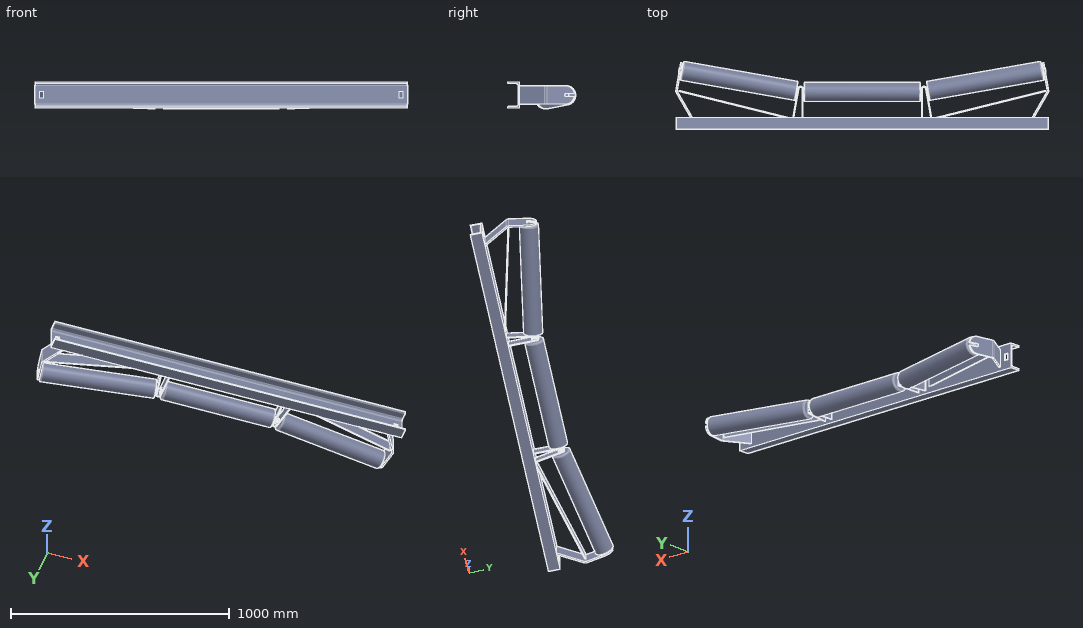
import cadquery as cq
import math

overall_width = 1704.42

channel_length = 1700.0
channel_height = 120.0
channel_depth = 55.0
web_thickness = 7.0
flange_thickness = 9.0
root_radius = 9.0
toe_radius = 5.0
mount_hole_width = 18.0
mount_hole_height = 30.0
mount_hole_x = 820.0

roller_diameter = 89.0
roller_length = 530.0
roller_edge_radius = 4.0
shaft_diameter = 20.0
shaft_flat_width = 14.0
roller_z = -20.0
centre_roller_y = 172.0
wing_angle = 10.0
wing_tilt = 2.0
wing_inner_x = 301.0
wing_inner_y = 176.17

strap_thickness = 5.0
strap_width = 50.0
strap_top_y = 198.0
strap_gap = 5.0

plate_thickness = 8.0
plate_width = 84.0
plate_tip_y = 306.0
bend_inner_radius = 8.0
bend_y = 176.0
plate_foot_angle = 30.0
outer_shaft_reach = 16.0

brace_thickness = 5.0
brace_width = 60.0
brace_foot_x = 338.0
brace_head_y = 178.5

half_roller = roller_length / 2
inner_shaft_reach = strap_gap + strap_thickness
bend_radius = bend_inner_radius + plate_thickness
bend_x = bend_radius - overall_width / 2
wing_slant = math.radians(wing_angle)
foot_slant = math.radians(plate_foot_angle)


def make_channel():
    half_height = channel_height / 2
    inner_half = half_height - flange_thickness
    web_y = channel_depth - web_thickness
    from_toes = (True, False, True)
    blank = cq.Workplane("XY").box(channel_length, channel_depth, channel_height, centered=from_toes)
    trough = cq.Workplane("XY").box(channel_length, web_y, 2 * inner_half, centered=from_toes)
    trough = trough.edges("|X and >Y").fillet(root_radius)
    channel = blank.cut(trough)
    toes = cq.selectors.BoxSelector(
        (-channel_length, -1, -inner_half - 1),
        (channel_length, 1, inner_half + 1),
    )
    channel = channel.edges("|X").edges(toes).fillet(toe_radius)
    holes = (
        cq.Workplane("XY")
        .pushPoints([(-mount_hole_x, 0), (mount_hole_x, 0)])
        .box(mount_hole_width, 3 * channel_depth, mount_hole_height)
    )
    return channel.cut(holes)


def flatted_bar(profile, start, end):
    """Extrude a YZ profile from start to end along X and trim it to the shaft flats."""
    bar = profile.extrude(end - start)
    flats = cq.Workplane("YZ").workplane(offset=start).rect(4 * roller_diameter, shaft_flat_width)
    return bar.intersect(flats.extrude(end - start))


def make_shaft(start, end):
    round_profile = cq.Workplane("YZ").workplane(offset=start).circle(shaft_diameter / 2)
    return flatted_bar(round_profile, start, end)


def make_shaft_slot(start, end):
    """Cutter for the slot, open towards +Y, into which a shaft end drops."""
    radius = shaft_diameter / 2
    open_profile = (
        cq.Workplane("YZ")
        .workplane(offset=start)
        .moveTo(0, radius)
        .lineTo(roller_diameter, radius)
        .lineTo(roller_diameter, -radius)
        .lineTo(0, -radius)
        .threePointArc((-radius, 0), (0, radius))
        .close()
    )
    return flatted_bar(open_profile, start, end)


def make_roller(left_reach, right_reach):
    """Roller centred on the X axis whose shaft reaches past both ends."""
    end_face = cq.Workplane("YZ").workplane(offset=-half_roller)
    shell = end_face.circle(roller_diameter / 2).extrude(roller_length)
    shell = shell.faces("<X or >X").edges().fillet(roller_edge_radius)
    return shell.union(make_shaft(-half_roller - left_reach, half_roller + right_reach))


def place_centre(body):
    return body.translate((0, centre_roller_y, roller_z))


def place_wing(body):
    """Move a body built about the X axis onto the axis of the left wing roller."""
    return (
        body.translate((-half_roller, 0, 0))
        .rotate((0, 0, 0), (0, 1, 0), wing_tilt)
        .rotate((0, 0, 0), (0, 0, 1), -wing_angle)
        .translate((-wing_inner_x, wing_inner_y, roller_z))
    )


def make_inner_bracket():
    """Strap with one leg square to the centre roller, one to the wing roller, and an arch joining them."""
    foot_y = channel_depth
    right_x = -half_roller - strap_gap
    left_x = -wing_inner_x + strap_gap / math.cos(wing_slant)
    gap_at_top = right_x - left_x - (strap_top_y - wing_inner_y) * math.tan(wing_slant)
    arch_radius = gap_at_top / (1 + 1 / math.cos(wing_slant) - math.tan(wing_slant))
    arch_x = right_x - arch_radius
    arch_y = strap_top_y - arch_radius

    def left_end(radius):
        return arch_x - radius * math.cos(wing_slant), arch_y + radius * math.sin(wing_slant)

    def left_foot(radius):
        x, y = left_end(radius)
        return x - (y - foot_y) * math.tan(wing_slant), foot_y

    inner_radius = arch_radius - strap_thickness
    strap = (
        cq.Workplane("XY")
        .workplane(offset=roller_z - strap_width / 2)
        .moveTo(right_x, foot_y)
        .lineTo(right_x, arch_y)
        .threePointArc((arch_x, strap_top_y), left_end(arch_radius))
        .lineTo(*left_foot(arch_radius))
        .lineTo(*left_foot(inner_radius))
        .lineTo(*left_end(inner_radius))
        .threePointArc((arch_x, arch_y + inner_radius), (arch_x + inner_radius, arch_y))
        .lineTo(arch_x + inner_radius, foot_y)
        .close()
        .extrude(strap_width)
    )
    slot_end = half_roller + inner_shaft_reach
    centre_slot = place_centre(make_shaft_slot(-slot_end, 0))
    wing_slot = place_wing(make_shaft_slot(0, slot_end))
    return strap.cut(centre_slot).cut(wing_slot)


def make_outer_bracket():
    """Bent plate rising from the channel past the wing roller, with a rounded, slotted tip."""
    foot_y = channel_depth
    leg_length = (plate_tip_y - bend_y) / math.cos(wing_slant) - bend_radius * math.tan(wing_slant)

    def bend_point(radius, angle):
        return bend_x - radius * math.cos(angle), bend_y + radius * math.sin(angle)

    def tip_point(radius):
        x, y = bend_point(radius, wing_slant)
        return x + leg_length * math.sin(wing_slant), y + leg_length * math.cos(wing_slant)

    def foot_point(radius):
        x, y = bend_point(radius, -foot_slant)
        return x + (y - foot_y) * math.tan(foot_slant), foot_y

    plate = (
        cq.Workplane("XY")
        .workplane(offset=-plate_width / 2)
        .moveTo(*foot_point(bend_radius))
        .lineTo(*bend_point(bend_radius, -foot_slant))
        .threePointArc(bend_point(bend_radius, 0), bend_point(bend_radius, wing_slant))
        .lineTo(*tip_point(bend_radius))
        .lineTo(*tip_point(bend_inner_radius))
        .lineTo(*bend_point(bend_inner_radius, wing_slant))
        .threePointArc(bend_point(bend_inner_radius, 0), bend_point(bend_inner_radius, -foot_slant))
        .lineTo(*foot_point(bend_inner_radius))
        .close()
        .extrude(plate_width)
    )
    half_width = plate_width / 2
    tip_corners = (
        cq.Workplane("YZ")
        .moveTo(leg_length - half_width, half_width)
        .threePointArc((leg_length, 0), (leg_length - half_width, -half_width))
        .lineTo(leg_length + half_width, -half_width)
        .lineTo(leg_length + half_width, half_width)
        .close()
        .extrude(2 * bend_radius, both=True)
        .rotate((0, 0, 0), (0, 0, 1), -wing_angle)
        .translate((bend_x, bend_y, 0))
    )
    slot = place_wing(make_shaft_slot(-half_roller - 2 * outer_shaft_reach, 0))
    return plate.cut(tip_corners).cut(slot)


def make_brace(bracket):
    """Sloping strip from the channel to the inside of the bend in the outer bracket."""
    slant = math.atan2(brace_head_y - channel_depth, -bend_x - brace_foot_x)
    head_depth = brace_thickness / math.cos(slant)
    foot_length = brace_thickness / math.sin(slant)
    strip = (
        cq.Workplane("XY")
        .workplane(offset=-brace_width / 2)
        .moveTo(-brace_foot_x, channel_depth)
        .lineTo(bend_x, brace_head_y)
        .lineTo(bend_x, brace_head_y - head_depth)
        .lineTo(-brace_foot_x - foot_length, channel_depth)
        .close()
        .extrude(brace_width)
    )
    return strip.cut(bracket)


channel = make_channel()
centre_roller = place_centre(make_roller(inner_shaft_reach, inner_shaft_reach))
wing_roller = place_wing(make_roller(outer_shaft_reach, inner_shaft_reach))
inner_bracket = make_inner_bracket()
outer_bracket = make_outer_bracket()
brace = make_brace(outer_bracket)

bodies = [channel.val(), centre_roller.val()]
for left_body in (wing_roller, inner_bracket, outer_bracket, brace):
    right_body = left_body.mirror("YZ")
    bodies += [left_body.val(), right_body.val()]

result = cq.Compound.makeCompound(bodies)